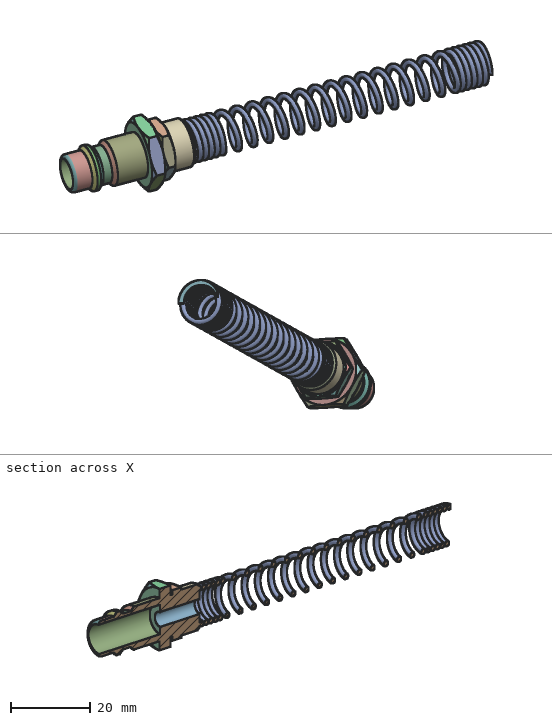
import cadquery as cq
import math

TOTAL_LENGTH = 115.0

TIP_RADIUS = 5.0
TIP_ROUND = 0.9
RING_RADIUS = 6.0
RING_FRONT_FOOT = 4.9
RING_FRONT_CREST = 5.9
RING_REAR_CREST = 6.9
RING_REAR_FOOT = 8.0
NECK_END = 10.4
SHOULDER = 11.5
BODY_RADIUS = 6.0

LARGE_HEX_FLATS = 17.0
LARGE_HEX_START = 19.8
LARGE_HEX_END = 23.5
SMALL_HEX_FLATS = 14.0
SMALL_HEX_START = 24.0
SMALL_HEX_END = 27.0
COLLAR_RADIUS = 5.8
HEX_CHAMFER_ANGLE = 30.0

SLEEVE_RADIUS = 6.4
SLEEVE_END = 33.0
SLEEVE_CHAMFER = 0.7

ENTRY_BORE_RADIUS = 4.0
ENTRY_BORE_DEPTH = 20.0
THROUGH_BORE_RADIUS = 2.0

WIRE_RADIUS = 0.75
SPRING_OUTER_RADIUS = 5.7
COIL_RADIUS = SPRING_OUTER_RADIUS - WIRE_RADIUS
CLOSED_PITCH = 1.55
CLOSED_TURNS = 6
OPEN_PITCH = 4.315
OPEN_TURNS = 15
CLOSED_LENGTH = CLOSED_PITCH * CLOSED_TURNS
OPEN_LENGTH = OPEN_PITCH * OPEN_TURNS
SPRING_START = TOTAL_LENGTH - 2 * CLOSED_LENGTH - OPEN_LENGTH
POINTS_PER_TURN = 12


def cylinder(radius, start, end):
    """Cylinder on the Y axis between two Y positions."""
    return cq.Workplane("XZ", origin=(0, start, 0)).circle(radius).extrude(start - end)


def plug_body():
    """Turned plug, from the rounded tip to the chamfered end of the sleeve."""
    arc_offset = TIP_ROUND * (1 - math.sqrt(0.5))
    return (
        cq.Workplane("XY")
        .lineTo(TIP_RADIUS - TIP_ROUND, 0)
        .threePointArc((TIP_RADIUS - arc_offset, arc_offset), (TIP_RADIUS, TIP_ROUND))
        .lineTo(TIP_RADIUS, RING_FRONT_FOOT)
        .lineTo(RING_RADIUS, RING_FRONT_CREST)
        .lineTo(RING_RADIUS, RING_REAR_CREST)
        .lineTo(TIP_RADIUS, RING_REAR_FOOT)
        .lineTo(TIP_RADIUS, NECK_END)
        .lineTo(BODY_RADIUS, SHOULDER)
        .lineTo(BODY_RADIUS, LARGE_HEX_START)
        .lineTo(COLLAR_RADIUS, LARGE_HEX_START)
        .lineTo(COLLAR_RADIUS, SMALL_HEX_END)
        .lineTo(SLEEVE_RADIUS, SMALL_HEX_END)
        .lineTo(SLEEVE_RADIUS, SLEEVE_END - SLEEVE_CHAMFER)
        .lineTo(SLEEVE_RADIUS - SLEEVE_CHAMFER, SLEEVE_END)
        .lineTo(0, SLEEVE_END)
        .close()
        .revolve(360, (0, 0, 0), (0, 1, 0))
    )


def chamfered_hex(flats, start, end):
    """Hexagon with corners on the X axis, both faces chamfered down to the circle across its flats."""
    corner_radius = flats / math.sqrt(3)
    chamfer_length = (corner_radius - flats / 2) * math.tan(math.radians(HEX_CHAMFER_ANGLE))
    prism = cq.Workplane("XZ", origin=(0, start, 0)).polygon(6, 2 * corner_radius).extrude(start - end)
    envelope = (
        cq.Workplane("XY")
        .moveTo(0, start)
        .lineTo(flats / 2, start)
        .lineTo(corner_radius, start + chamfer_length)
        .lineTo(corner_radius, end - chamfer_length)
        .lineTo(flats / 2, end)
        .lineTo(0, end)
        .close()
        .revolve(360, (0, 0, 0), (0, 1, 0))
    )
    return prism.intersect(envelope)


def coil_advance(turns):
    """Distance along Y after a number of turns from the start of the spring."""
    open_turns = min(max(turns - CLOSED_TURNS, 0), OPEN_TURNS)
    return CLOSED_PITCH * (turns - open_turns) + OPEN_PITCH * open_turns


def spring_point(step):
    """Point on the right-handed wire centre line, starting on the +X side."""
    turns = step / POINTS_PER_TURN
    angle = 2 * math.pi * turns
    return cq.Vector(
        COIL_RADIUS * math.cos(angle),
        SPRING_START + coil_advance(turns),
        -COIL_RADIUS * math.sin(angle),
    )


def spring():
    """Round-wire spring whose free end is ground flat at TOTAL_LENGTH."""
    total_turns = 2 * CLOSED_TURNS + OPEN_TURNS
    step_count = total_turns * POINTS_PER_TURN
    path = cq.Workplane("XY").spline([spring_point(step) for step in range(step_count + 1)])
    start_plane = cq.Plane(origin=spring_point(0), xDir=(1, 0, 0), normal=path.val().tangentAt(0))
    wire = cq.Workplane(start_plane).circle(WIRE_RADIUS).sweep(path, isFrenet=True)
    ground_stock = cylinder(SPRING_OUTER_RADIUS + WIRE_RADIUS, TOTAL_LENGTH, TOTAL_LENGTH + 2 * WIRE_RADIUS)
    return wire.cut(ground_stock)


body = plug_body()
body = body.union(chamfered_hex(LARGE_HEX_FLATS, LARGE_HEX_START, LARGE_HEX_END))
body = body.union(chamfered_hex(SMALL_HEX_FLATS, SMALL_HEX_START, SMALL_HEX_END))
body = body.cut(cylinder(ENTRY_BORE_RADIUS, 0, ENTRY_BORE_DEPTH))
body = body.cut(cylinder(THROUGH_BORE_RADIUS, 0, SLEEVE_END))

result = body.union(spring())